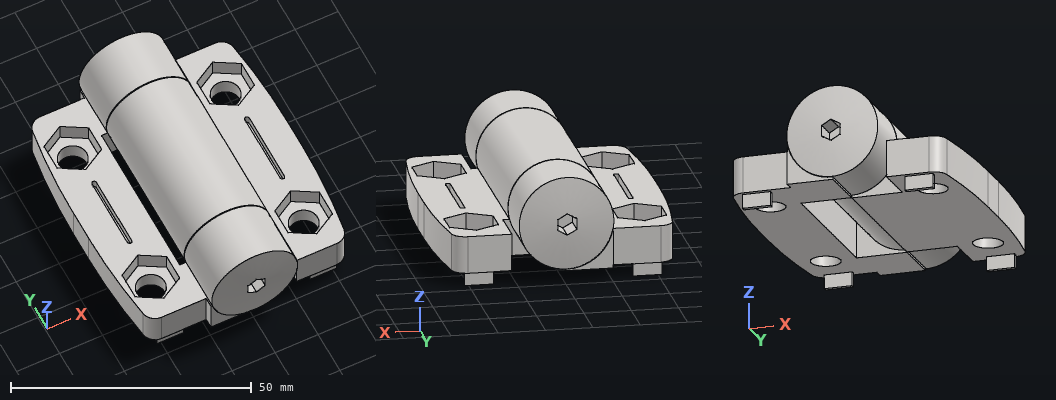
import cadquery as cq
import math

leaf_thickness = 8.0
leaf_half_width = 25.0
leaf_half_length = 28.05
edge_flat_half = 3.45
edge_bow_radius = 149.6
corner_radius = 3.0

barrel_diameter = 20.0
barrel_radius = barrel_diameter / 2
barrel_axis_z = 10.5
barrel_half_length = 30.6
overall_half_length = 31.4
pin_diameter = barrel_radius

middle_half_length = 17.85
knuckle_gap = 0.2
end_knuckle_start = middle_half_length + knuckle_gap
web_half_length = 30.2
barrel_clearance = 1.1
free_edge_x = barrel_radius + barrel_clearance

socket_flats = 4.0
socket_depth = 5
overshoot = 0.6

hole_diameter = 6.4
hole_x = 17.8
hole_y = 18.0
nut_flats = 10.4
nut_depth = 4.0
slot_length = 17.2
slot_width = 1.0
slot_depth = 2.0

foot_width = 6.15
foot_thickness = 1.0
foot_height = 3.0
foot_y = 26.5


def box(x_range, y_range, z_range):
    """Box between the given pairs of limits."""
    size = [high - low for low, high in (x_range, y_range, z_range)]
    corner = (x_range[0], y_range[0], z_range[0])
    return cq.Workplane("XY").box(*size, centered=False).translate(corner)


def hexagon_diameter(across_flats):
    """Corner-to-corner size of a hexagon."""
    return across_flats / math.cos(math.pi / 6)


def mirrored_ends(shape):
    """The shape together with its mirror image at the other end of the hinge."""
    return shape.union(shape.mirror("XZ"))


def leaf_plate():
    """Plate on the +X side with a bowed outer edge and rounded outer corners."""

    def bowed_edge_x(y):
        rise = abs(y) - edge_flat_half
        return leaf_half_width - edge_bow_radius + math.sqrt(edge_bow_radius**2 - rise**2)

    mid_y = (edge_flat_half + leaf_half_length) / 2
    mid_x = bowed_edge_x(mid_y)
    end_x = bowed_edge_x(leaf_half_length)
    return (
        cq.Workplane("XY")
        .moveTo(free_edge_x, -leaf_half_length)
        .lineTo(end_x, -leaf_half_length)
        .threePointArc((mid_x, -mid_y), (leaf_half_width, -edge_flat_half))
        .lineTo(leaf_half_width, edge_flat_half)
        .threePointArc((mid_x, mid_y), (end_x, leaf_half_length))
        .lineTo(free_edge_x, leaf_half_length)
        .close()
        .extrude(leaf_thickness)
        .faces(">Y or <Y")
        .edges("|Z and (not <X)")
        .fillet(corner_radius)
    )


def leaf():
    """Complete +X leaf without its web: plate, feet, holes, nut pockets and slot."""
    body = leaf_plate()
    foot = box(
        (hole_x - foot_width / 2, hole_x + foot_width / 2),
        (foot_y - foot_thickness / 2, foot_y + foot_thickness / 2),
        (-foot_height, 0),
    )
    body = body.union(mirrored_ends(foot))
    hole_places = [(hole_x, -hole_y), (hole_x, hole_y)]
    holes = cq.Workplane("XY").pushPoints(hole_places).circle(hole_diameter / 2).extrude(leaf_thickness)
    nut = (
        cq.Workplane("XY", origin=(0, 0, leaf_thickness - nut_depth))
        .polygon(6, hexagon_diameter(nut_flats))
        .extrude(nut_depth)
        .rotate((0, 0, 0), (0, 0, 1), 90)
    )
    nut_pockets = mirrored_ends(nut.translate((hole_x, hole_y, 0)))
    slot = (
        cq.Workplane("XY", origin=(0, 0, leaf_thickness - slot_depth))
        .center(hole_x, 0)
        .slot2D(slot_length, slot_width, 90)
        .extrude(slot_depth)
    )
    return body.cut(holes).cut(nut_pockets).cut(slot)


def middle_web():
    """Web from the +X leaf to the underside of the middle knuckle."""
    return box(
        (0, free_edge_x),
        (-middle_half_length, middle_half_length),
        (0, leaf_thickness),
    )


def end_webs():
    """Webs from the -X leaf to the undersides of the two end knuckles."""
    under_barrel = box((-barrel_radius, 0), (end_knuckle_start, web_half_length), (0, leaf_thickness))
    to_leaf = box((-free_edge_x, -barrel_radius), (end_knuckle_start, leaf_half_length), (0, leaf_thickness))
    return mirrored_ends(under_barrel.union(to_leaf))


def barrel():
    """Solid of revolution with domed ends and narrow gaps between the knuckles."""
    rim_x = socket_flats / 2
    rise = overall_half_length - barrel_half_length
    dome_center_y = (
        overall_half_length**2 + rim_x**2 - barrel_half_length**2 - barrel_radius**2
    ) / (2 * rise)
    dome_radius = math.hypot(rim_x, overall_half_length - dome_center_y)
    dome_top_y = dome_center_y + dome_radius
    half = (
        cq.Workplane("XY")
        .lineTo(barrel_radius, 0)
        .lineTo(barrel_radius, middle_half_length)
        .lineTo(pin_diameter / 2, middle_half_length)
        .lineTo(pin_diameter / 2, end_knuckle_start)
        .lineTo(barrel_radius, end_knuckle_start)
        .lineTo(barrel_radius, barrel_half_length)
        .threePointArc((rim_x, overall_half_length), (0, dome_top_y))
        .close()
        .revolve(360, (0, 0, 0), (0, 1, 0))
    )
    return mirrored_ends(half).translate((0, 0, barrel_axis_z))


def end_sockets():
    """Hexagonal key sockets with corners pointing up and down."""
    socket = (
        cq.Workplane("XZ", origin=(0, overall_half_length + overshoot, 0))
        .polygon(6, hexagon_diameter(socket_flats))
        .extrude(socket_depth + overshoot)
        .rotate((0, 0, 0), (0, 1, 0), 90)
    )
    return mirrored_ends(socket.translate((0, 0, barrel_axis_z)))


right_leaf = leaf()
left_leaf = right_leaf.mirror("YZ")

result = (
    barrel()
    .union(middle_web())
    .union(end_webs())
    .union(right_leaf)
    .union(left_leaf)
    .cut(end_sockets())
)